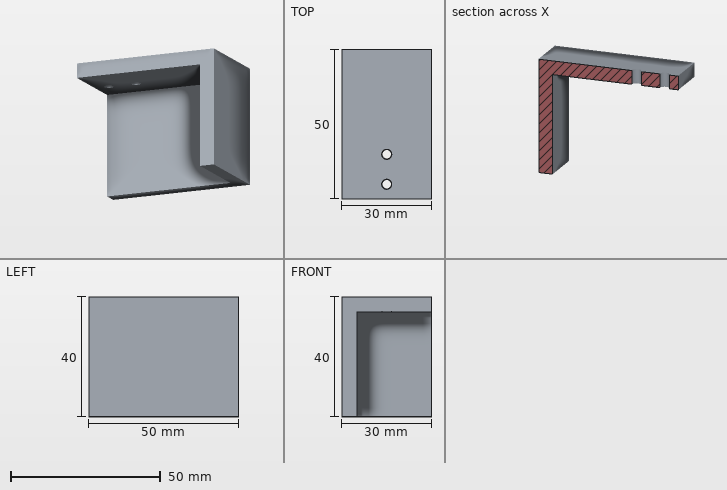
import cadquery as cq

width = 30.0
length = 50.0
height = 40.0
wall = 5.0

hole_diameter = 3.2
first_hole_from_front = 5.0
hole_spacing = 10.0
hole_count = 2

left = -width / 2
front = -length / 2
back = length / 2
wall_height = height - wall


def block(size_x, size_y, size_z, x, y, z):
    """Box with its lowest corner at (x, y, z)."""
    return cq.Workplane("XY").box(size_x, size_y, size_z, centered=False).translate((x, y, z))


top_plate = block(width, length, wall, left, front, wall_height)
side_wall = block(wall, length, wall_height, left, front, 0)
back_wall = block(width, wall, wall_height, left, back - wall, 0)

hole_positions = [(0, front + first_hole_from_front + i * hole_spacing) for i in range(hole_count)]
holes = (
    cq.Workplane("XY", origin=(0, 0, wall_height))
    .pushPoints(hole_positions)
    .circle(hole_diameter / 2)
    .extrude(wall)
)

result = top_plate.union(side_wall).union(back_wall).cut(holes)